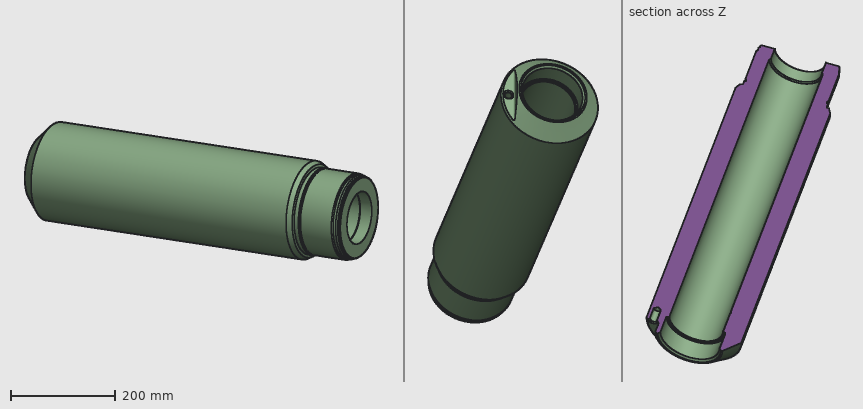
import cadquery as cq

length = 690.5
body_radius = 96.0

nose_radius = 67.0
nose_length = body_radius - nose_radius

shoulder_start = 582.0
shoulder_end = 592.5
shoulder_radius = 90.5
shoulder_face_slant = 1.5
neck_radius = 85.0

groove_start = 603.0
groove_end = 606.5
groove_radius = 82.0

spigot_radius = 84.0
spigot_end = 674.0
tip_step_end = 677.0
tip_radius = 82.0
lip_step_start = 682.0
lip_step_end = 686.0
lip_radius = 80.0
lip_chamfer = 2.0

bore_radius = 54.0
counterbore_radius = 59.5
counterbore_depth = 41.5
mouth_chamfer = 4.0
ledge_chamfer = 2.0
end_bore_radius = 51.0
end_bore_length = 27.5

flat_height = 70.0
notch_depth = 25.5
notch_fillet = 3.5
hole_height = 81.5
hole_radius = 7.0
hole_depth = 27.5
hole_tip_length = 4.0
hole_sink_radius = 10.0
hole_sink_depth = 3.0


def make_outer_body():
    """Revolve the outer outline around the X axis."""
    return (
        cq.Workplane("XY")
        .moveTo(0, 0)
        .lineTo(0, nose_radius)
        .lineTo(nose_length, body_radius)
        .lineTo(shoulder_start, body_radius)
        .lineTo(shoulder_end, shoulder_radius)
        .lineTo(shoulder_end + shoulder_face_slant, neck_radius)
        .lineTo(groove_start, neck_radius)
        .lineTo(groove_start, groove_radius)
        .lineTo(groove_end, groove_radius)
        .lineTo(groove_end, spigot_radius)
        .lineTo(spigot_end, spigot_radius)
        .lineTo(tip_step_end, tip_radius)
        .lineTo(lip_step_start, tip_radius)
        .lineTo(lip_step_end, lip_radius)
        .lineTo(length - lip_chamfer, lip_radius)
        .lineTo(length, lip_radius - lip_chamfer)
        .lineTo(length, 0)
        .close()
        .revolve(360, (0, 0, 0), (1, 0, 0))
    )


def make_bore():
    """Through bore with a counterbore opening at the nose."""
    end_bore_start = length - end_bore_length
    return (
        cq.Workplane("XY")
        .moveTo(0, 0)
        .lineTo(0, counterbore_radius + mouth_chamfer)
        .lineTo(mouth_chamfer, counterbore_radius)
        .lineTo(counterbore_depth, counterbore_radius)
        .lineTo(counterbore_depth, bore_radius + ledge_chamfer)
        .lineTo(counterbore_depth + ledge_chamfer, bore_radius)
        .lineTo(end_bore_start, bore_radius)
        .lineTo(end_bore_start + bore_radius - end_bore_radius, end_bore_radius)
        .lineTo(length, end_bore_radius)
        .lineTo(length, 0)
        .close()
        .revolve(360, (0, 0, 0), (1, 0, 0))
    )


def make_notch():
    """Block that cuts the flat, with its inner corner rounded."""
    return (
        cq.Workplane("XY")
        .box(notch_depth, body_radius, 2 * body_radius, centered=(False, False, True))
        .edges(">X and <Y")
        .fillet(notch_fillet)
        .translate((0, flat_height, 0))
    )


def make_hole():
    """Countersunk blind hole running along X from the notch wall."""
    return (
        cq.Workplane("XY")
        .moveTo(notch_depth, hole_height)
        .lineTo(notch_depth, hole_height + hole_sink_radius)
        .lineTo(notch_depth + hole_sink_depth, hole_height + hole_radius)
        .lineTo(notch_depth + hole_depth, hole_height + hole_radius)
        .lineTo(notch_depth + hole_depth + hole_tip_length, hole_height)
        .close()
        .revolve(360, (0, hole_height, 0), (1, hole_height, 0))
    )


result = make_outer_body().cut(make_bore()).cut(make_notch()).cut(make_hole())